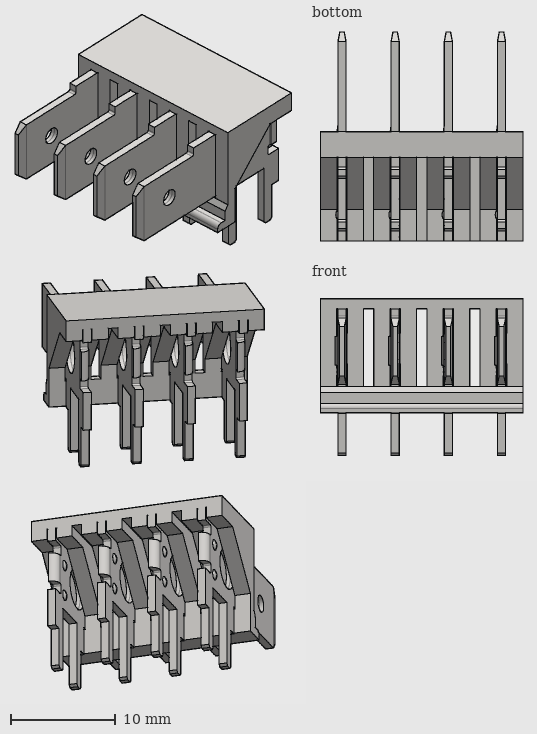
import cadquery as cq


total_width = 19.35
total_length = 20.0
total_height = 15.0

terminal_count = 4
terminal_pitch = 5.08
terminal_thickness = 0.8

housing_depth = 9.02
housing_bottom = 4.08
roof_thickness = 2.05
front_wall_rear = 8.0
diagonal_run = 4.98
lip_top = 4.98
lip_reach = 10.45
lip_radius = 0.5
step_top = 6.05
step_depth = 0.38
slot_width = 0.95
slot_floor = 6.6
slot_ceiling = 14.0

shoulder_height = 4.0
stop_length = 12.05
blade_bottom = 6.8
blade_top = 13.12
stop_fillet = 0.2
tip_length = 0.95
tip_height_bevel = 0.78
tip_end_thickness = 0.45
hole_height = 10.0
blade_hole_diameter = 1.65
blade_hole_offset = 15.48
plate_hole_diameter = 4.0
plate_hole_offset = 6.05

pin_width = 1.12
pin_offsets = (1.52, 6.55)
pin_gap_top = 6.48
pin_chamfer = 0.25

notch_depth = 1.5
notch_height = 1.05
notch_bottoms = (7.75, 11.68)
notch_fillet = 0.15
curl_rear = 0.4
curl_radius = 0.88

dimple_diameter = 1.02
dimple_height = 0.2
dimple_offset = 2.52
dimple_heights = (8.0, 11.08)
latch_start = 9.12
latch_end = 11.08
latch_rise = 0.25
latch_start_height = 2.7
latch_end_height = 2.98

half_thickness = terminal_thickness / 2
roof_bottom = total_height - roof_thickness


def box(x_range, y_range, z_range):
    """Axis-aligned block between the given limits."""
    sizes = [high - low for low, high in (x_range, y_range, z_range)]
    corner = (x_range[0], y_range[0], z_range[0])
    return cq.Workplane("XY").box(*sizes, centered=False).translate(corner)


def row_positions(count, pitch):
    """X positions of a row centred on X = 0."""
    return [(index - (count - 1) / 2) * pitch for index in range(count)]


def make_housing():
    """Extruded angle-shaped body with a front lip, slotted from front to rear."""
    body = (
        cq.Workplane("YZ")
        .moveTo(0, total_height)
        .lineTo(-housing_depth, total_height)
        .lineTo(-housing_depth, slot_floor)
        .lineTo(-housing_depth - step_depth, step_top)
        .lineTo(-housing_depth - step_depth, lip_top)
        .lineTo(-lip_reach + lip_radius, lip_top)
        .radiusArc((-lip_reach, lip_top - lip_radius), -lip_radius)
        .lineTo(-lip_reach, housing_bottom)
        .lineTo(-front_wall_rear, housing_bottom)
        .lineTo(-front_wall_rear, roof_bottom - diagonal_run)
        .lineTo(-front_wall_rear + diagonal_run, roof_bottom)
        .lineTo(0, roof_bottom)
        .close()
        .extrude(total_width / 2, both=True)
    )
    for x in row_positions(2 * terminal_count - 1, terminal_pitch / 2):
        slot = box(
            (x - slot_width / 2, x + slot_width / 2),
            (-housing_depth, 0),
            (slot_floor, slot_ceiling),
        )
        body = body.cut(slot)
    return body


def make_blade_tip():
    """Tip tapering in both height and thickness."""
    height = blade_top - blade_bottom
    middle = (blade_top + blade_bottom) / 2
    return (
        cq.Workplane("XZ", origin=(0, tip_length - total_length, middle))
        .rect(terminal_thickness, height)
        .workplane(offset=tip_length)
        .rect(tip_end_thickness, height - 2 * tip_height_bevel)
        .loft()
    )


def make_plate():
    """Flat terminal with its blade, shoulders, pins, holes and rear notches."""
    thickness = (-half_thickness, half_thickness)
    plate = box(thickness, (-front_wall_rear, 0), (shoulder_height, slot_ceiling))

    stop = box(thickness, (-stop_length, -front_wall_rear), (blade_bottom, slot_ceiling))
    blade = box(thickness, (tip_length - total_length, -stop_length), (blade_bottom, blade_top))
    corner = cq.selectors.NearestToPointSelector((0, -stop_length, blade_top))
    plate = plate.union(stop).union(blade).edges(corner).fillet(stop_fillet)
    plate = plate.union(make_blade_tip())

    rear_pin, front_pin = pin_offsets
    pin_gap = box(
        thickness,
        (-front_pin + pin_width / 2, -rear_pin - pin_width / 2),
        (0, pin_gap_top),
    )
    plate = plate.cut(pin_gap)
    for offset in pin_offsets:
        pin = box(
            thickness,
            (-offset - pin_width / 2, -offset + pin_width / 2),
            (0, shoulder_height),
        )
        plate = plate.union(pin.faces("<Z").edges("|X").chamfer(pin_chamfer))

    for offset, diameter in (
        (blade_hole_offset, blade_hole_diameter),
        (plate_hole_offset, plate_hole_diameter),
    ):
        hole = (
            cq.Workplane("YZ")
            .center(-offset, hole_height)
            .circle(diameter / 2)
            .extrude(half_thickness, both=True)
        )
        plate = plate.cut(hole)

    for bottom in notch_bottoms:
        notch = box(thickness, (-notch_depth, 0), (bottom, bottom + notch_height))
        plate = plate.cut(notch.edges("|X and <Y").fillet(notch_fillet))
    return plate


def curl_tab(plate):
    """Replace the plate between the notches with a quarter bend towards +X."""
    lower, upper = notch_bottoms
    tab_bottom = lower + notch_height
    tab_height = upper - tab_bottom
    bend_front = -curl_rear - curl_radius
    flat_tab = box(
        (-half_thickness, half_thickness),
        (bend_front, 0),
        (tab_bottom, upper),
    )
    bend_radius_inside = curl_radius - terminal_thickness
    bend = (
        cq.Workplane("XY", origin=(curl_radius - half_thickness, bend_front, tab_bottom))
        .moveTo(-curl_radius, 0)
        .radiusArc((0, curl_radius), curl_radius)
        .lineTo(0, bend_radius_inside)
        .radiusArc((-bend_radius_inside, 0), -bend_radius_inside)
        .close()
        .extrude(tab_height)
    )
    return plate.cut(flat_tab).union(bend)


def make_dimple(height):
    """Shallow spherical cap standing on the -X face."""
    radius = dimple_diameter / 2
    sphere_radius = (radius**2 + dimple_height**2) / (2 * dimple_height)
    return (
        cq.Workplane("XY", origin=(-half_thickness, -dimple_offset, height))
        .moveTo(0, 0)
        .lineTo(-dimple_height, 0)
        .radiusArc((0, radius), sphere_radius)
        .close()
        .revolve(360, (0, 0), (1, 0))
    )


def make_latch():
    """Wedge rising from the -X face towards the housing, narrowing as it rises."""
    outline = (
        cq.Workplane("YZ", origin=(-half_thickness - latch_rise, 0, hole_height))
        .moveTo(-latch_start, -latch_start_height / 2)
        .lineTo(-latch_start, latch_start_height / 2)
        .lineTo(-latch_end, latch_end_height / 2)
        .lineTo(-latch_end, -latch_end_height / 2)
        .close()
        .extrude(latch_rise)
    )
    wedge = (
        cq.Workplane("XY")
        .moveTo(-half_thickness, -latch_start)
        .lineTo(-half_thickness - latch_rise, -latch_start)
        .lineTo(-half_thickness, -latch_end)
        .close()
        .extrude(total_height)
    )
    return outline.intersect(wedge)


def make_terminal():
    """Complete terminal, centred on X = 0."""
    terminal = curl_tab(make_plate())
    for height in dimple_heights:
        terminal = terminal.union(make_dimple(height))
    return terminal.union(make_latch())


result = make_housing()
terminal = make_terminal()
for x in row_positions(terminal_count, terminal_pitch):
    result = result.union(terminal.translate((x, 0, 0)))